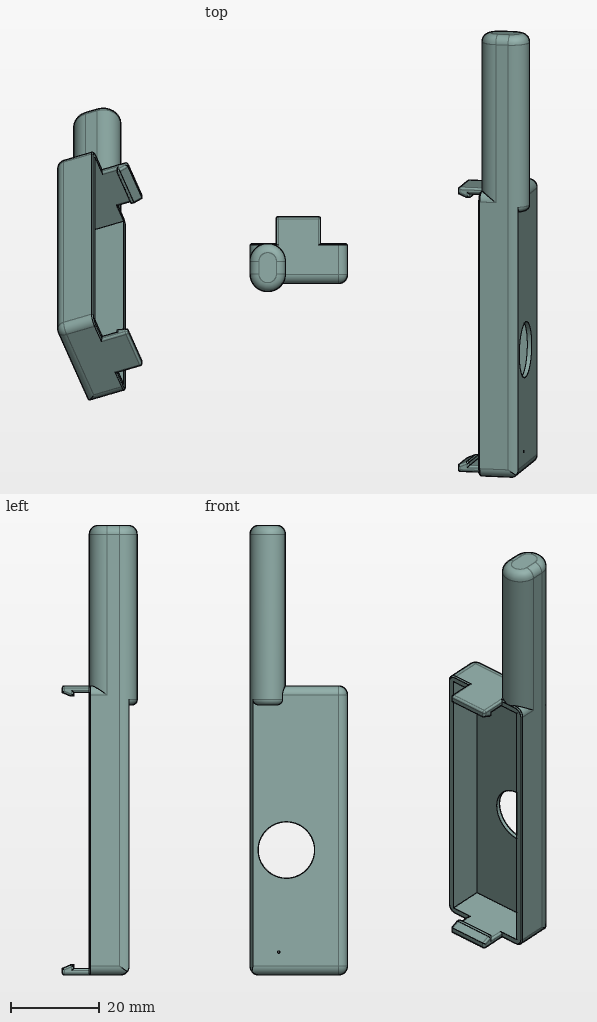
import cadquery as cq
import math

body_width = 21.9
body_depth = 9.0
body_height = 65.0
edge_radius = 2.0
back_edge_chamfer = 0.3
side_wall = 1.5
front_wall = 1.0

bar_width = 8.0
bar_depth = 10.8
bar_bottom = 60.7
bar_top = 101.1
bar_top_radius = 2.0
bar_bottom_radius = 1.3
bar_radius = bar_width / 2

window_diameter = 12.6
window_x, window_z = 8.2, 28.1
pinhole_diameter = 0.5
pinhole_x, pinhole_z = 6.5, 5.2

clip_width = 10.0
clip_left = 5.9
clip_reach = 6.1
clip_thickness = side_wall
clip_edge_radius = 0.5
hook_length = 2.6
hook_tip_flat = 0.7
hook_height = 0.8


def make_bar():
    """Upright bar of stadium section with rounded ends, its back flush with the body's back."""
    bar = (
        cq.Workplane("XY", origin=(bar_radius, -bar_depth / 2, bar_bottom))
        .slot2D(bar_depth, bar_width, 90)
        .extrude(bar_top - bar_bottom)
    )
    bar = bar.faces(">Z").edges().fillet(bar_top_radius)
    return bar.faces("<Z").edges().fillet(bar_bottom_radius)


def make_body():
    """Filleted outer block whose left front edge is trimmed to the round of the bar."""
    block = cq.Workplane("XY").box(body_width, body_depth, body_height, centered=False)
    block = block.translate((0, -body_depth, 0))
    block = block.edges("(>X and <Y) or ((<Z or >Z) and (not >Y))").fillet(edge_radius)
    block = block.faces(">Y").edges().chamfer(back_edge_chamfer)

    arc_center_y = bar_radius - bar_depth
    diagonal_offset = bar_radius * math.sqrt(0.5)
    arc_middle = (bar_radius - diagonal_offset, arc_center_y - diagonal_offset)
    trim = (
        cq.Workplane("XY")
        .moveTo(0, 0)
        .lineTo(0, arc_center_y)
        .threePointArc(arc_middle, (bar_radius, -bar_depth))
        .lineTo(body_width, -bar_depth)
        .lineTo(body_width, 0)
        .close()
        .extrude(body_height)
    )
    return block.intersect(trim)


def make_cavity():
    """Space inside the walls, open at the back."""
    return cq.Workplane("XY").box(
        body_width - 2 * side_wall,
        body_depth - front_wall,
        body_height - 2 * side_wall,
        centered=False,
    ).translate((side_wall, front_wall - body_depth, side_wall))


def make_bottom_clip():
    """Plate flush with the bottom wall, with an upward hook at its free end."""
    root = -side_wall
    hook_start = clip_reach - hook_length
    hook_top = clip_thickness + hook_height
    clip = (
        cq.Workplane("YZ", origin=(clip_left, 0, 0))
        .moveTo(root, 0)
        .lineTo(root, clip_thickness)
        .lineTo(hook_start, clip_thickness)
        .lineTo(hook_start, hook_top)
        .lineTo(hook_start + hook_tip_flat, hook_top)
        .lineTo(clip_reach, clip_thickness)
        .lineTo(clip_reach, 0)
        .close()
        .extrude(clip_width)
    )
    return clip.edges("(>Y and <Z) or ((<X or >X) and (not <Y))").fillet(clip_edge_radius)


def make_front_hole(diameter, x, z):
    """Cutter through the front wall along Y."""
    return cq.Workplane("XZ", origin=(x, 0, z)).circle(diameter / 2).extrude(bar_depth)


bottom_clip = make_bottom_clip()
top_clip = bottom_clip.mirror("XY", (0, 0, body_height / 2))

result = make_body().union(make_bar()).cut(make_cavity()).union(bottom_clip).union(top_clip)
result = result.cut(make_front_hole(window_diameter, window_x, window_z))
result = result.cut(make_front_hole(pinhole_diameter, pinhole_x, pinhole_z))